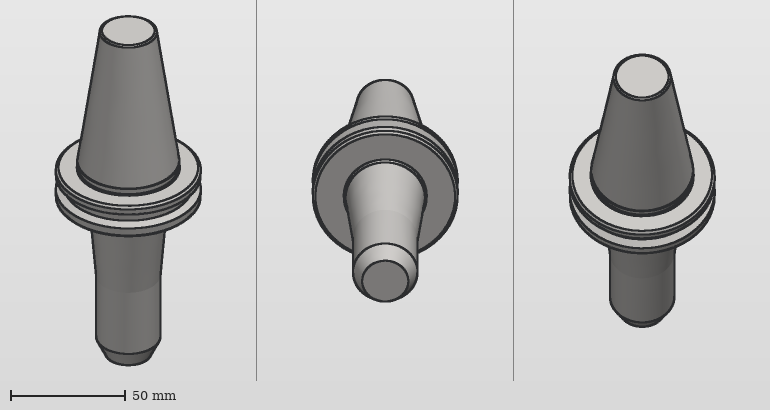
import cadquery as cq

total_length = 168.4
nose_height = 8.6
sleeve_top = 40.5
collar_bottom = 79.7
flange_bottom = 80.8
flange_top = 96.8
neck_bottom = 97.3
taper_base = 100.2
top_chamfer_height = 0.7

nose_radius = 10.1
sleeve_radius = 14.1
body_top_radius = 17.3
collar_radius = 18.2
flange_radius = 63.5 / 2
groove_radius = 28.1
neck_radius = 22.0
neck_root_radius = 22.5
taper_base_radius = 22.4
top_chamfer_width = 1.0

rim_chamfer = 1.2
lower_rim_top = 85.7
groove_bottom = 87.4
groove_top = 91.0
upper_rim_bottom = 93.0

taper_ratio = 7 / 24
taper_top = total_length - top_chamfer_height
taper_top_radius = taper_base_radius - (taper_top - taper_base) * taper_ratio / 2


def revolve_profile(points):
    """Revolve (radius, height) points a full turn about the Z axis."""
    return cq.Workplane("XZ").polyline(points).close().revolve(360, (0, 0), (0, 1))


body_profile = [
    (nose_radius, 0),
    (sleeve_radius, nose_height),
    (sleeve_radius, sleeve_top),
    (body_top_radius, collar_bottom),
    (collar_radius, flange_bottom),
]

flange_profile = [
    (flange_radius - rim_chamfer, flange_bottom),
    (flange_radius, flange_bottom + rim_chamfer),
    (flange_radius, lower_rim_top),
    (groove_radius, groove_bottom),
    (groove_radius, groove_top),
    (flange_radius, upper_rim_bottom),
    (flange_radius, flange_top - rim_chamfer),
    (flange_radius - rim_chamfer, flange_top),
]

shank_profile = [
    (neck_root_radius, flange_top),
    (neck_radius, neck_bottom),
    (neck_radius, taper_base),
    (taper_base_radius, taper_base),
    (taper_top_radius, taper_top),
    (taper_top_radius - top_chamfer_width, total_length),
]

axis_start = [(0, 0)]
axis_end = [(0, total_length)]
result = revolve_profile(axis_start + body_profile + flange_profile + shank_profile + axis_end)